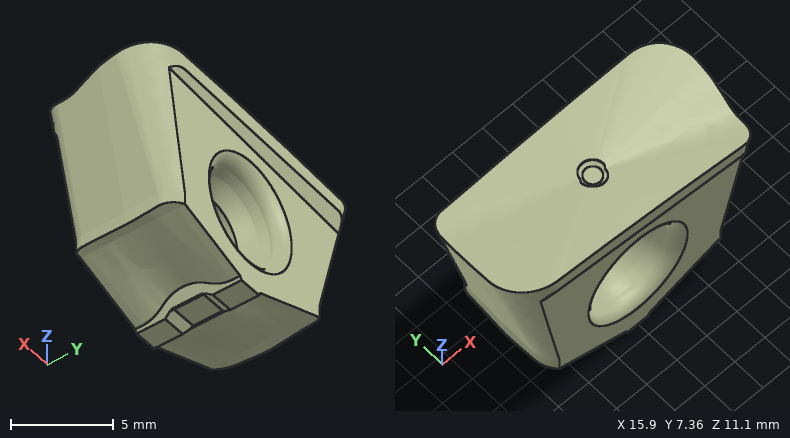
import cadquery as cq
import math


FOOT_HALF_LENGTH = 5.81
FACE_HALF_WIDTH = 3.23
FLANK_SLOPE = 0.262
FLANK_SKEW = 0.05
BAND_Y_CENTRE = 3.58
BAND_SKEW = 0.0145
LARGE_RADIUS_FOOT = 1.47
LARGE_RADIUS_HEAD = 2.47
SMALL_RADIUS_FOOT = 0.95
SMALL_RADIUS_HEAD = 0.95

FOOT_TOP = -2.28
BASE = -4.87
HEAD_TOP = 6.25
BLANK_TOP = 6.45
CUT_CLEARANCE = 1.6

LEDGE_CENTRE_Z = 4.22
LEDGE_FALL = 0.102
LEDGE_RISE = 1.75

TOP_CENTRE_Z = 5.62
DIMPLE_RADIUS = 0.76
DIMPLE_FLOOR_RADIUS = 0.51
DIMPLE_DEPTH = 0.16

RIB_ROOT_HALF = 0.81
RIB_TIP_HALF = 0.7
RIB_ROOT_Z = -4.67
SIDE_SLOPE = 0.363
CENTRE_ROOT_Z = -4.01
LIP_START_X = 5.16
LIP_SIDE_Z = -2.9
LIP_CENTRE_Z = -3.15
WAVE_HALF_WIDTH = 2.74
NOTCH_TOP_Z = -4.55
NOTCH_TOP_HALF = 0.91
NOTCH_BASE_HALF = 1.47

MOUTH_RADIUS = 3.3
SEAT_RADIUS = 2.74
SEAT_INNER_RADIUS = 2.61
THROAT_RADIUS = 2.09
MOUTH_DEPTH = 0.88
SEAT_DEPTH = 1.43
THROAT_DEPTH = 2.39
MOUTH_MID_WIDENING = 0.15
MOUTH_MID_DEPTH = 0.35
THROAT_MID_WIDENING = 0.32


def half_turn(points):
    return [(-p[0], -p[1], *p[2:]) for p in points]


def corner_arc(before, corner, after, radius):
    """Start, middle and end points of the arc that rounds a polygon corner."""
    corner = cq.Vector(*corner)
    to_before = (cq.Vector(*before) - corner).normalized()
    to_after = (cq.Vector(*after) - corner).normalized()
    half_angle = to_before.getAngle(to_after) / 2
    setback = radius / math.tan(half_angle)
    bisector = (to_before + to_after).normalized()
    middle = corner + bisector * (radius / math.sin(half_angle) - radius)
    points = (corner + to_before * setback, middle, corner + to_after * setback)
    return [p.toTuple()[:2] for p in points]


def plan_outline(z, half_length, large_radius, small_radius):
    """Closed plan outline with a small and a large rounded corner at each end."""
    large_y = BAND_Y_CENTRE - BAND_SKEW * half_length
    small_y = BAND_Y_CENTRE + BAND_SKEW * half_length
    small_x = half_length - FLANK_SKEW * small_y
    flank_middle = (-half_length, 0)
    small_corner = (-small_x, small_y)
    large_corner = (-half_length, -large_y)
    next_large, next_small = half_turn([large_corner, small_corner])
    small_arc = corner_arc(next_large, small_corner, flank_middle, small_radius)
    large_arc = corner_arc(flank_middle, large_corner, next_small, large_radius)
    opposite_middle = half_turn([flank_middle])[0]
    outline = cq.Workplane("XY", origin=(0, 0, z)).moveTo(*small_arc[0])
    outline = outline.threePointArc(*small_arc[1:]).lineTo(*flank_middle)
    outline = outline.lineTo(*large_arc[0]).threePointArc(*large_arc[1:])
    small_arc, large_arc = half_turn(small_arc), half_turn(large_arc)
    outline = outline.lineTo(*small_arc[0]).threePointArc(*small_arc[1:]).lineTo(*opposite_middle)
    return outline.lineTo(*large_arc[0]).threePointArc(*large_arc[1:]).close()


def make_blank():
    """Straight foot below a head with raked flanks."""
    foot_outline = plan_outline(FOOT_TOP, FOOT_HALF_LENGTH, LARGE_RADIUS_FOOT, SMALL_RADIUS_FOOT)
    foot = foot_outline.extrude(BASE - FOOT_TOP)
    head_half_length = FOOT_HALF_LENGTH + FLANK_SLOPE * (BLANK_TOP - FOOT_TOP)
    head_outline = plan_outline(BLANK_TOP, head_half_length, LARGE_RADIUS_HEAD, SMALL_RADIUS_HEAD)
    wires = [foot_outline.wire().val(), head_outline.wire().val()]
    head = cq.Workplane(obj=cq.Solid.makeLoft(wires, True))
    return foot.union(head)


def make_ledge_cutter():
    """Removes the overhang in front of the -Y side face, below the sloping ledge."""
    reach = 9.56
    overhang = 0.95
    wires = []
    for x in (-reach, reach):
        ledge_z = LEDGE_CENTRE_Z - LEDGE_FALL * x
        outer_y = -FACE_HALF_WIDTH - overhang
        profile = [
            (-FACE_HALF_WIDTH, BASE - CUT_CLEARANCE),
            (-FACE_HALF_WIDTH, ledge_z),
            (outer_y, ledge_z + LEDGE_RISE * overhang),
            (outer_y, BASE - CUT_CLEARANCE),
        ]
        wires.append(cq.Wire.makePolygon([cq.Vector(x, y, z) for y, z in profile], close=True))
    return cq.Workplane(obj=cq.Solid.makeLoft(wires, True))


def make_top_cutter():
    """Volume above the top surface, whose straight rulings run out from the centre."""
    end_rim = [
        (-6.66, 3.68, 5.21),
        (-7.36, 3.4, 5.1),
        (-7.57, 2.71, 5.02),
        (-7.7, 1.91, 5.05),
        (-7.8, 1.12, 5.32),
        (-7.93, 0.0, 5.72),
        (-7.96, -1.07, 5.93),
        (-7.25, -2.79, 6.2),
        (-5.42, -3.5, 6.2),
    ]
    side_rim = [end_rim[-1], (0, -BAND_Y_CENTRE, 5.86), half_turn(end_rim)[0]]
    rims = [end_rim, side_rim, half_turn(end_rim), half_turn(side_rim)]
    outer_scale = 1.2
    inner_scale = 0.05
    ceiling = HEAD_TOP + CUT_CLEARANCE

    def rim_edge(points, scale, flat=False):
        scaled = []
        for x, y, z in points:
            height = ceiling if flat else TOP_CENTRE_Z + scale * (z - TOP_CENTRE_Z)
            scaled.append(cq.Vector(scale * x, scale * y, height))
        params = [i / (len(points) - 1) for i in range(len(points))]
        return cq.Edge.makeSpline(scaled, parameters=params)

    faces = []
    outer_ceiling = []
    inner_ceiling = []
    for rim in rims:
        outer = rim_edge(rim, outer_scale)
        inner = rim_edge(rim, inner_scale)
        outer_top = rim_edge(rim, outer_scale, flat=True)
        inner_top = rim_edge(rim, inner_scale, flat=True)
        faces.append(cq.Face.makeRuledSurface(outer, inner))
        faces.append(cq.Face.makeRuledSurface(outer, outer_top))
        faces.append(cq.Face.makeRuledSurface(inner, inner_top))
        outer_ceiling.append(outer_top)
        inner_ceiling.append(inner_top)
    outer_wire = cq.Wire.assembleEdges(outer_ceiling)
    inner_wire = cq.Wire.assembleEdges(inner_ceiling)
    faces.append(cq.Face.makeFromWires(outer_wire, [inner_wire]))
    solid = cq.Solid.makeSolid(cq.Shell.makeShell(faces)).fix()
    return cq.Workplane(obj=solid)


def make_dimple():
    floor_z = TOP_CENTRE_Z - DIMPLE_DEPTH
    profile = [
        (0, floor_z),
        (DIMPLE_FLOOR_RADIUS, floor_z),
        (DIMPLE_RADIUS, TOP_CENTRE_Z),
        (DIMPLE_RADIUS, HEAD_TOP + CUT_CLEARANCE),
        (0, HEAD_TOP + CUT_CLEARANCE),
    ]
    return cq.Workplane("XZ").polyline(profile).close().revolve(360, (0, 0), (0, 1))


def make_underside_cutter():
    """Volume below the -X sloping underside, with a wave that fades into flat side strips."""
    edge_x = FOOT_HALF_LENGTH + 0.32
    lip_start_z = RIB_ROOT_Z + SIDE_SLOPE * (LIP_START_X - RIB_ROOT_HALF)
    lip_start_centre_z = lip_start_z + 0.02
    outer_y = FACE_HALF_WIDTH + 0.8
    floor_z = BASE - CUT_CLEARANCE
    wires = []
    sections = (
        (RIB_ROOT_HALF, RIB_ROOT_Z, CENTRE_ROOT_Z),
        (LIP_START_X, lip_start_z, lip_start_centre_z),
        (edge_x, LIP_SIDE_Z, LIP_CENTRE_Z),
    )
    for x, side_z, centre_z in sections:
        mean_z = (side_z + centre_z) / 2
        bulge = (centre_z - side_z) / 2
        quarter = WAVE_HALF_WIDTH / 4
        arc_sag = 0.25 * bulge
        section = (
            cq.Workplane("YZ", origin=(-x, 0, 0))
            .moveTo(-outer_y, floor_z)
            .lineTo(-outer_y, side_z)
            .lineTo(-WAVE_HALF_WIDTH, side_z)
            .threePointArc((-3 * quarter, side_z + arc_sag), (-2 * quarter, mean_z))
            .threePointArc((0, centre_z), (2 * quarter, mean_z))
            .threePointArc((3 * quarter, side_z + arc_sag), (WAVE_HALF_WIDTH, side_z))
            .lineTo(outer_y, side_z)
            .lineTo(outer_y, floor_z)
            .close()
        )
        wires.append(section.wire().val())
    return cq.Workplane(obj=cq.Solid.makeLoft(wires, True))


def make_rib_flank_cutter():
    """Chamfer along the -X lower edge of the base rib."""
    profile = [(-RIB_ROOT_HALF, RIB_ROOT_Z), (-RIB_TIP_HALF, BASE), (-RIB_ROOT_HALF, BASE)]
    return cq.Workplane("XZ").polyline(profile).close().extrude(FACE_HALF_WIDTH * 1.5, both=True)


def make_rib():
    """Rib core whose raked flanks run up into the waves of the underside."""
    top_z = CENTRE_ROOT_Z + 0.24
    flank_slope = (RIB_ROOT_HALF - RIB_TIP_HALF) / (RIB_ROOT_Z - BASE)
    top_half = RIB_TIP_HALF + flank_slope * (top_z - BASE)
    profile = [(-RIB_TIP_HALF, BASE), (RIB_TIP_HALF, BASE), (top_half, top_z), (-top_half, top_z)]
    return cq.Workplane("XZ").polyline(profile).close().extrude(FACE_HALF_WIDTH, both=True)


def make_rib_notch():
    profile = [
        (-NOTCH_BASE_HALF, BASE),
        (-NOTCH_TOP_HALF, NOTCH_TOP_Z),
        (NOTCH_TOP_HALF, NOTCH_TOP_Z),
        (NOTCH_BASE_HALF, BASE),
    ]
    return cq.Workplane("YZ").polyline(profile).close().extrude(RIB_ROOT_HALF, both=True)


def make_hole():
    """Through hole with a rounded mouth and a seat at both ends."""
    mouth_y = FACE_HALF_WIDTH
    seat_y = mouth_y - MOUTH_DEPTH
    seat_end_y = mouth_y - SEAT_DEPTH
    throat_y = mouth_y - THROAT_DEPTH
    mouth_mid = (SEAT_RADIUS + MOUTH_MID_WIDENING, mouth_y - MOUTH_MID_DEPTH)
    throat_mid = (THROAT_RADIUS + THROAT_MID_WIDENING, (throat_y + seat_end_y) / 2)
    half = (
        cq.Workplane("XY")
        .lineTo(THROAT_RADIUS, 0)
        .lineTo(THROAT_RADIUS, throat_y)
        .threePointArc(throat_mid, (SEAT_INNER_RADIUS, seat_end_y))
        .lineTo(SEAT_RADIUS, seat_y)
        .threePointArc(mouth_mid, (MOUTH_RADIUS, mouth_y))
        .lineTo(0, mouth_y)
        .close()
        .revolve(360, (0, 0), (0, 1))
    )
    return half.union(half.mirror("XZ"))


def cut_both_ends(body, cutter):
    opposite = cutter.rotate((0, 0, 0), (0, 0, 1), 180)
    return body.cut(cutter).cut(opposite)


body = make_blank()
body = cut_both_ends(body, make_ledge_cutter())
body = cut_both_ends(body, make_underside_cutter())
body = cut_both_ends(body, make_rib_flank_cutter())
body = body.union(make_rib())
body = body.cut(make_rib_notch())
body = body.cut(make_top_cutter())
body = body.cut(make_dimple())
result = body.cut(make_hole())